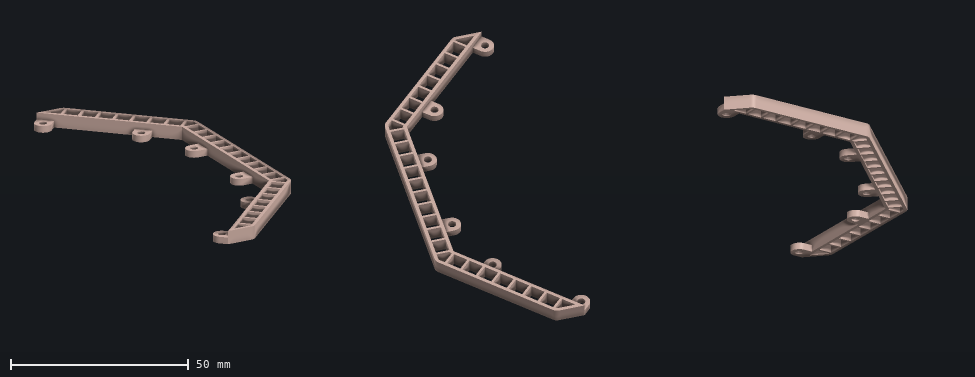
import cadquery as cq
import math

half_length = 55.0
inner_half_span = 25.0
beam_width = 5.9
frame_height = 4.0
corner_radius = 2.2

wall = 1.0
rung_thickness = 0.72
top_rung_count = 11
arm_rung_count = 8
last_arm_rung = 35.4

ear_radius = 2.5
arm_ear_reach = ear_radius
top_ear_reach = 2.9
ear_height = frame_height / 2
hole_diameter = 2.3
top_ear_offset = 13.0
arm_ear_spacing = 28.7

arm_angle = 45.0
arm_rise = half_length - inner_half_span
arm_length = arm_rise * math.sqrt(2)

first_arm_rung = rung_thickness / 2
last_top_rung = inner_half_span - rung_thickness / 2
top_rung_pitch = 2 * last_top_rung / (top_rung_count - 1)
arm_rung_pitch = (last_arm_rung - first_arm_rung) / (arm_rung_count - 1)


def frame_prism(inset, radius):
    """Frame outline moved inwards by `inset`, with rounded outer corners."""
    miter = math.tan(math.radians(arm_angle / 2))
    end_x = half_length - inset
    inner_x = inner_half_span + inset * miter
    inner_y = inset
    outer_y = beam_width - inset
    outer_x = inner_half_span + outer_y * miter
    end_inner_y = inner_y - (end_x - inner_x)
    end_outer_y = outer_y - (end_x - outer_x)
    right_side = [
        (inner_x, inner_y),
        (end_x, end_inner_y),
        (end_x, end_outer_y),
        (outer_x, outer_y),
    ]
    left_side = [(-x, y) for x, y in reversed(right_side)]
    prism = cq.Workplane("XY").polyline(right_side + left_side).close().extrude(frame_height)
    for x, y in (right_side + left_side)[2:6]:
        corner = cq.selectors.NearestToPointSelector((x, y, frame_height / 2))
        prism = prism.edges(corner).fillet(radius)
    return prism


def on_right_arm(shape):
    """Move a shape from the X axis, inner face at Y = 0, onto the right arm."""
    return shape.rotate((0, 0, 0), (0, 0, 1), -arm_angle).translate((inner_half_span, 0, 0))


def rung(x):
    return (
        cq.Workplane("XY")
        .box(rung_thickness, beam_width - wall, frame_height, centered=(True, True, False))
        .translate((x, beam_width / 2, 0))
    )


def ear(x, reach):
    """Round-ended lug below the inner face, without its hole."""
    return (
        cq.Workplane("XY")
        .moveTo(x - ear_radius, 0)
        .lineTo(x - ear_radius, -reach)
        .threePointArc((x, -reach - ear_radius), (x + ear_radius, -reach))
        .lineTo(x + ear_radius, 0)
        .close()
        .extrude(ear_height)
    )


def ear_hole(x, reach):
    return cq.Workplane("XY").center(x, -reach).circle(hole_diameter / 2).extrude(ear_height)


def add_to_both_arms(body, shape):
    right_shape = on_right_arm(shape)
    return body.union(right_shape).union(right_shape.mirror("YZ"))


result = frame_prism(0, corner_radius).cut(frame_prism(wall, corner_radius - wall))

for index in range(top_rung_count):
    result = result.union(rung(index * top_rung_pitch - last_top_rung))
for index in range(arm_rung_count):
    result = add_to_both_arms(result, rung(first_arm_rung + index * arm_rung_pitch))

last_arm_ear = arm_length - ear_radius
arm_ears = (last_arm_ear - arm_ear_spacing, last_arm_ear)
for x in (-top_ear_offset, top_ear_offset):
    result = result.union(ear(x, top_ear_reach)).cut(ear_hole(x, top_ear_reach))
for x in arm_ears:
    result = add_to_both_arms(result, ear(x, arm_ear_reach))
    right_hole = on_right_arm(ear_hole(x, arm_ear_reach))
    result = result.cut(right_hole).cut(right_hole.mirror("YZ"))